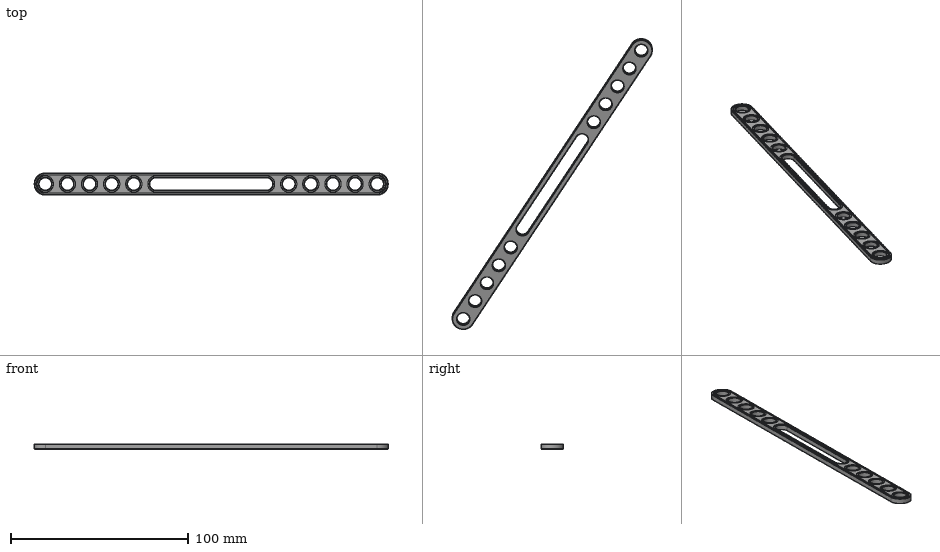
import cadquery as cq

length = 200.0
width = 12.5
thickness = 3.12

pitch = width
holes_per_side = 5
hole_diameter = 7.0

rim_diameter = 9.2
rim_width = (rim_diameter - hole_diameter) / 2
pocket_depth = 0.2

edge_chamfer = 0.3

end_hole_x = (length - width) / 2
slot_end_x = end_hole_x - holes_per_side * pitch

hole_points = [
    (side * (end_hole_x - index * pitch), 0)
    for side in (-1, 1)
    for index in range(holes_per_side)
]


def rounded_bar(end_center_x, bar_width, z_bottom, height):
    """Bar with semicircular ends centred at plus and minus end_center_x."""
    return (
        cq.Workplane("XY")
        .workplane(offset=z_bottom)
        .slot2D(2 * end_center_x + bar_width, bar_width)
        .extrude(height)
    )


def round_posts(diameter, z_bottom, height):
    """Cylinders of one diameter standing at every hole position."""
    return (
        cq.Workplane("XY")
        .workplane(offset=z_bottom)
        .pushPoints(hole_points)
        .circle(diameter / 2)
        .extrude(height)
    )


def pocket():
    """Shallow recess inside the outer rim, leaving rims around holes and slot."""
    floor_z = thickness - pocket_depth
    recess = rounded_bar(end_hole_x, width - 2 * rim_width, floor_z, pocket_depth)
    slot_rim = rounded_bar(slot_end_x, rim_diameter, floor_z, pocket_depth)
    hole_rims = round_posts(rim_diameter, floor_z, pocket_depth)
    return recess.cut(slot_rim).cut(hole_rims)


strip = rounded_bar(end_hole_x, width, 0, thickness)
slot = rounded_bar(slot_end_x, hole_diameter, 0, thickness)
holes = round_posts(hole_diameter, 0, thickness)

body = strip.cut(slot).cut(holes)
body = body.faces("<Z or >Z").chamfer(edge_chamfer)

result = body.cut(pocket())